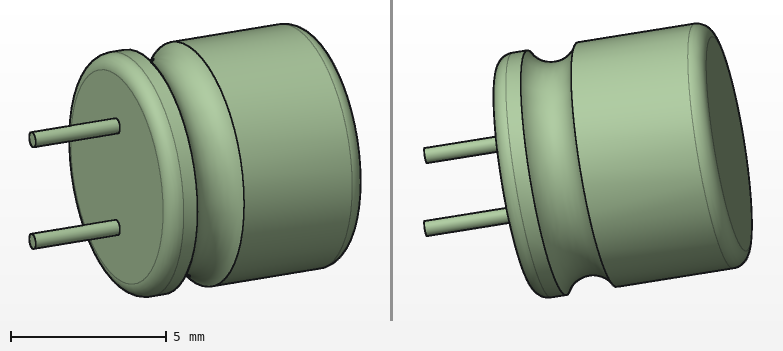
import cadquery as cq

can_radius = 4.0
can_length = 7.0
rim_fillet = 0.5

groove_center = 1.83
groove_width = 1.66
groove_depth = 0.5

lead_diameter = 0.5
lead_length = 3.0
lead_pitch = 3.5


def make_can():
    """Revolve the half profile (radius along X, length along Y) about the Y axis."""
    groove_start = groove_center - groove_width / 2
    groove_end = groove_center + groove_width / 2
    profile = (
        cq.Workplane("XY")
        .lineTo(can_radius, 0)
        .lineTo(can_radius, groove_start)
        .threePointArc((can_radius - groove_depth, groove_center), (can_radius, groove_end))
        .lineTo(can_radius, can_length)
        .lineTo(0, can_length)
        .close()
    )
    can = profile.revolve(360, (0, 0, 0), (0, 1, 0))
    return can.faces("<Y or >Y").edges().fillet(rim_fillet)


def make_leads():
    """Two round leads, one above the other, pointing toward -Y."""
    return (
        cq.Workplane("XZ")
        .pushPoints([(0, -lead_pitch / 2), (0, lead_pitch / 2)])
        .circle(lead_diameter / 2)
        .extrude(lead_length)
    )


result = make_can().union(make_leads())